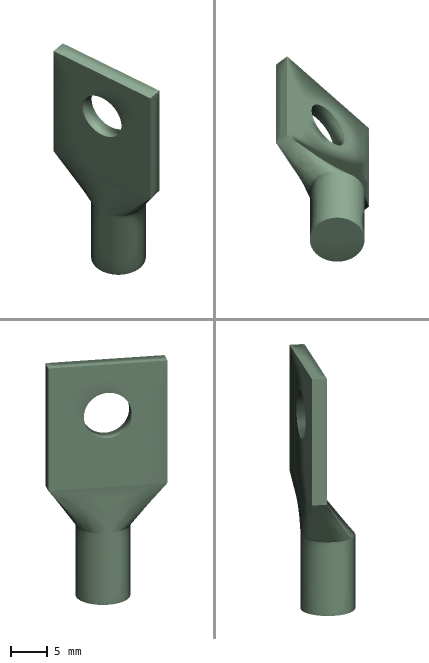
import cadquery as cq
import math

total_height = 35.8
palm_width = 16.75
palm_thickness = 2.08
palm_height = 18.25
barrel_diameter = 7.6
barrel_length = 10.67
hole_diameter = 6.75
hole_to_top = 7.6

barrel_radius = barrel_diameter / 2
palm_bottom = total_height - palm_height
transition_height = palm_bottom - barrel_length
palm_front = -barrel_radius
palm_center_y = palm_front + palm_thickness / 2


def make_barrel():
    """Solid round barrel at the lower end of the lug."""
    return cq.Workplane("XY").circle(barrel_radius).extrude(barrel_length)


def quarter_arc_outline():
    """Barrel outline split at the diagonals, one quarter arc per palm side."""
    diagonal = barrel_radius * math.sqrt(0.5)
    return (
        cq.Workplane("XY", origin=(0, 0, barrel_length))
        .moveTo(-diagonal, -diagonal)
        .threePointArc((0, -barrel_radius), (diagonal, -diagonal))
        .threePointArc((barrel_radius, 0), (diagonal, diagonal))
        .threePointArc((0, barrel_radius), (-diagonal, diagonal))
        .threePointArc((-barrel_radius, 0), (-diagonal, -diagonal))
        .close()
    )


def make_transition():
    """Ruled loft from the round barrel to the flat palm."""
    return (
        quarter_arc_outline()
        .workplane(offset=transition_height, origin=(0, palm_center_y, barrel_length))
        .rect(palm_width, palm_thickness)
        .loft(ruled=True)
    )


def make_palm():
    """Flat rectangular tongue with a stud hole through its thickness."""
    palm = (
        cq.Workplane("XY", origin=(0, palm_center_y, palm_bottom))
        .rect(palm_width, palm_thickness)
        .extrude(palm_height)
    )
    stud_hole = (
        cq.Workplane("XZ", origin=(0, palm_front, total_height - hole_to_top))
        .circle(hole_diameter / 2)
        .extrude(-palm_thickness)
    )
    return palm.cut(stud_hole)


result = make_barrel().union(make_transition()).union(make_palm())